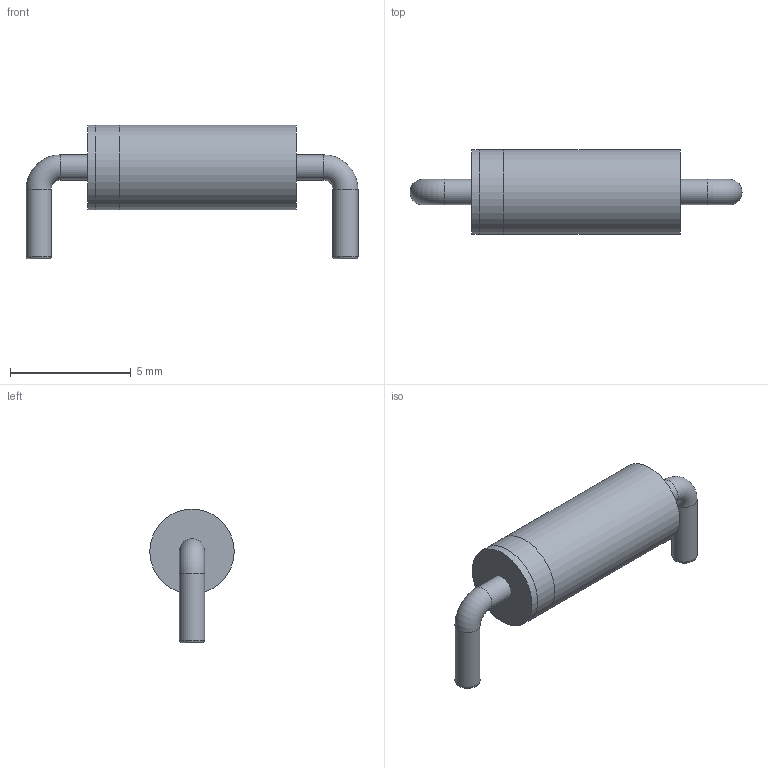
import cadquery as cq

body_diameter = 3.5
body_length = 8.65
band_offset = 0.33
band_width = 1.0
lead_diameter = 1.05
lead_pitch = 12.7
bend_radius = 0.9
overall_height = 5.53
tip_fillet = 0.1

lead_drop = overall_height - body_diameter / 2


def body_section(start, end):
    """Length of the body cylinder between two X positions."""
    return (
        cq.Workplane("YZ", origin=(start, 0, 0))
        .circle(body_diameter / 2)
        .extrude(end - start)
    )


def make_body():
    """Body whose flush polarity band stays as a face of its own."""
    body_start = -body_length / 2
    band_start = body_start + band_offset
    band_end = band_start + band_width
    end_cap = body_section(body_start, band_start)
    band = body_section(band_start, band_end)
    main_length = body_section(band_end, body_length / 2)
    return end_cap.union(band, clean=False).union(main_length, clean=False)


def make_leads():
    """One continuous wire through the body, bent down at both ends."""
    half_pitch = lead_pitch / 2
    straight_end = half_pitch - bend_radius
    path = (
        cq.Workplane("XZ")
        .moveTo(-half_pitch, -lead_drop)
        .lineTo(-half_pitch, -bend_radius)
        .tangentArcPoint((-straight_end, 0), relative=False)
        .lineTo(straight_end, 0)
        .tangentArcPoint((half_pitch, -bend_radius), relative=False)
        .lineTo(half_pitch, -lead_drop)
    )
    wire = (
        cq.Workplane("XY", origin=(-half_pitch, 0, -lead_drop))
        .circle(lead_diameter / 2)
        .sweep(path)
    )
    return wire.faces("<Z").edges().fillet(tip_fillet)


result = make_body().union(make_leads(), clean=False)